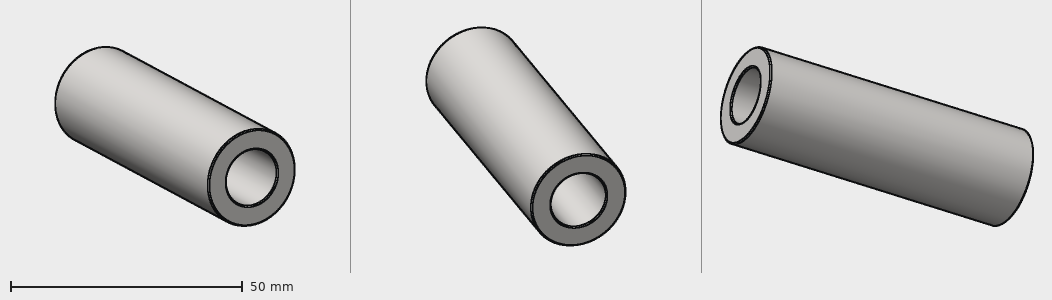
import cadquery as cq

length = 65.6
outer_diameter = 21.85
bore_diameter = 12.6
edge_chamfer = 0.3

tube = (
    cq.Workplane("YZ", origin=(-length / 2, 0, 0))
    .circle(outer_diameter / 2)
    .circle(bore_diameter / 2)
    .extrude(length)
)

result = tube.faces("<X or >X").chamfer(edge_chamfer)